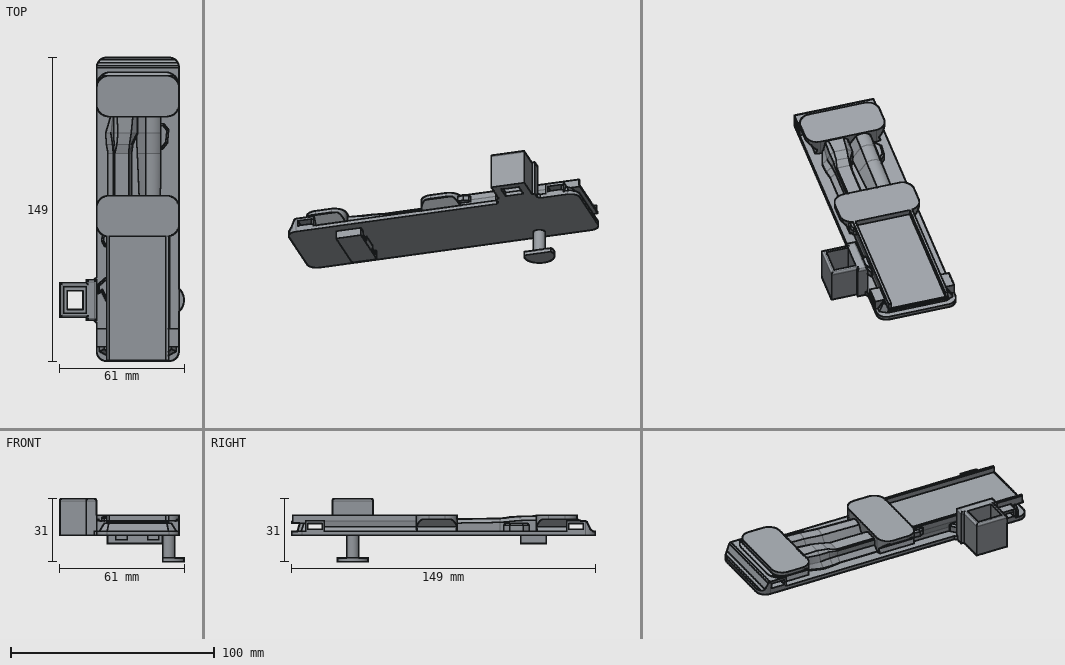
import cadquery as cq

BASE_WIDTH = 40.5
BASE_LENGTH = 149.0
BASE_THICKNESS = 2.0
BASE_CORNER_RADIUS = 5.0

PAD_LENGTH = 20.0
PAD_TOP = 10.0
PAD_THICKNESS = 2.0
PAD_BOTTOM = PAD_TOP - PAD_THICKNESS
PAD_CORNER_RADIUS = 6.0
MIDDLE_PAD_START = 61.2
REAR_PAD_START = 120.0
REAR_PAD_END = REAR_PAD_START + PAD_LENGTH

COLUMN_TOP_INSET = 0.8
COLUMN_WAIST_INSET = 4.5
COLUMN_BOTTOM_INSET = 3.5
WAIST_HEIGHT = 4.3

BLOCK_TOP = 7.2
BLOCK_LENGTH = 9.0
FRONT_BLOCK_START = 7.0
REAR_BLOCK_START = 135.0
REAR_BLOCK_END = REAR_BLOCK_START + BLOCK_LENGTH
WINDOW_LENGTH = 7.0
WINDOW_BOTTOM = 3.1
WINDOW_HEIGHT = 2.7
SLOPE_LENGTH = 3.8
SLOPE_BROW_RUN = 0.9
SLOPE_BROW_HEIGHT = 6.6
SLOPE_FOOT_RUN = 2.5
SLOPE_FOOT_HEIGHT = 3.2
SKIRT_LENGTH = 1.8
SKIRT_CORNER_RADIUS = 7.0

TRAY_LEFT = 5.0
TRAY_RIGHT = 35.3
TRAY_WALL = 1.3
TRAY_FLOOR_BOTTOM = 6.0
TRAY_FLOOR_TOP = 7.1
TRAY_WALL_SETBACK = 0.5
TRAY_FRONT_BEVEL = 0.5
TRAY_SUPPORT_LEFT = 5.2
TRAY_SUPPORT_RIGHT = 36.0
TRAY_SUPPORT_PINCH = 0.5

SOCKET_CENTER_Y = 30.0
SOCKET_HEIGHT = 18.0
SOCKET_REACH = 18.0
SOCKET_WIDTH = 17.0
SOCKET_WALL = 2.0
SOCKET_FLOOR = 2.0
SOCKET_HOLE_X = 7.5
SOCKET_HOLE_Y = 9.0
FLANGE_DEPTH = 5.0
FLANGE_WIDTH = 20.0
SOCKET_EDGE_FILLET = 1.0
GUSSET_SIZE = 1.2

POST_DIAMETER = 6.0
POST_X = 35.47
FOOT_RADIUS = 7.5
FOOT_BOTTOM = -13.0
FOOT_THICKNESS = 2.0

BAR_LEFT = 5.3
BAR_RIGHT = 32.3
BAR_START = 112.3
BAR_LENGTH = 12.7
BAR_DEPTH = 4.0
RECESS_CENTERS_X = (12.3, 27.8)
RECESS_WIDTH = 5.5
RECESS_HEIGHT = 2.2
RECESS_DEPTH = 1.0

LEG_START = MIDDLE_PAD_START + PAD_LENGTH / 2
KNEE_Y = 102.0
CROTCH_Y = 106.5
HIP_Y = 112.0
TORSO_Y = REAR_PAD_START + 2.0
FIGURE_BOTTOM = BASE_THICKNESS / 2
HAND_TOP = 6.0
SHOULDER_TOP = 9.4
LUMP_BEVEL = 0.9


def box(x0, x1, y0, y1, z0, z1):
    """Box between two opposite corners."""
    return cq.Workplane("XY").box(x1 - x0, y1 - y0, z1 - z0, centered=False).translate((x0, y0, z0))


def rounded_slab(y0, y1, z0, z1, radius):
    """Slab over the full plate width with rounded corners."""
    return box(0, BASE_WIDTH, y0, y1, z0, z1).edges("|Z").fillet(radius)


def prism_along_x(points):
    """Extrude a closed (y, z) outline over the full plate width."""
    return cq.Workplane("YZ").polyline(points).close().extrude(BASE_WIDTH)


def section_at(y):
    """XZ workplane at station y, with local coordinates equal to (x, z)."""
    return cq.Workplane("XZ", origin=(0, y, 0))


def loft_sections(wires):
    """Straight-sided loft through a row of closed wires."""
    return cq.Workplane(obj=cq.Solid.makeLoft(wires, True))


def make_base():
    """Flat plate with rounded corners."""
    return rounded_slab(0, BASE_LENGTH, 0, BASE_THICKNESS, BASE_CORNER_RADIUS)


def waisted_prism(y0, y1, bottom_edges, waist_edges, top_edges, top):
    """Prism along Y, pinched at the waist; each pair of edges gives the left and right x."""
    return (
        section_at(y0)
        .polyline([
            (bottom_edges[0], FIGURE_BOTTOM),
            (bottom_edges[1], FIGURE_BOTTOM),
            (bottom_edges[1], BASE_THICKNESS),
            (waist_edges[1], WAIST_HEIGHT),
            (top_edges[1], top),
            (top_edges[0], top),
            (waist_edges[0], WAIST_HEIGHT),
            (bottom_edges[0], BASE_THICKNESS),
        ])
        .close()
        .extrude(y0 - y1)
    )


def inset_edges(inset):
    """Left and right x at equal distances inside the plate edges."""
    return inset, BASE_WIDTH - inset


def make_pad(start):
    """Rounded pad on a column with a narrow waist."""
    end = start + PAD_LENGTH
    pad = rounded_slab(start, end, PAD_BOTTOM, PAD_TOP, PAD_CORNER_RADIUS)
    column = waisted_prism(
        start, end,
        inset_edges(COLUMN_BOTTOM_INSET),
        inset_edges(COLUMN_WAIST_INSET),
        inset_edges(COLUMN_TOP_INSET),
        PAD_BOTTOM,
    )
    outline = rounded_slab(start, end, 0, PAD_TOP, PAD_CORNER_RADIUS)
    return pad.union(column.intersect(outline))


def make_rear_end():
    """Rear block, its sloping end and the skirt leading up to the rear pad."""
    slope = prism_along_x([
        (REAR_BLOCK_START, 0),
        (REAR_BLOCK_START, BLOCK_TOP),
        (REAR_BLOCK_END, BLOCK_TOP),
        (REAR_BLOCK_END + SLOPE_BROW_RUN, SLOPE_BROW_HEIGHT),
        (REAR_BLOCK_END + SLOPE_FOOT_RUN, SLOPE_FOOT_HEIGHT),
        (REAR_BLOCK_END + SLOPE_LENGTH, BASE_THICKNESS),
        (REAR_BLOCK_END + SLOPE_LENGTH, 0),
    ])
    slope = slope.intersect(rounded_slab(0, BASE_LENGTH, 0, PAD_TOP, BASE_CORNER_RADIUS))
    skirt_end = REAR_PAD_END + SKIRT_LENGTH
    skirt = prism_along_x([
        (REAR_BLOCK_START, BLOCK_TOP),
        (REAR_BLOCK_START, PAD_BOTTOM),
        (REAR_PAD_END, PAD_BOTTOM),
        (skirt_end, BLOCK_TOP),
    ])
    outline = rounded_slab(REAR_PAD_START, skirt_end, 0, PAD_TOP, SKIRT_CORNER_RADIUS)
    return slope.union(skirt.intersect(outline))


def make_front_end():
    """Front block with a sloping pedestal that reaches toward the front edge."""
    block = box(0, BASE_WIDTH, FRONT_BLOCK_START, FRONT_BLOCK_START + BLOCK_LENGTH, 0, BLOCK_TOP)
    block = block.cut(box(TRAY_LEFT, TRAY_RIGHT, 0, BASE_LENGTH, TRAY_FLOOR_TOP, PAD_TOP))
    foot_front = 2.5
    foot_inset = 0.8
    foot_corner_x = TRAY_LEFT
    head_front = 4.0
    head_inset = 3.8
    head_corner_x = TRAY_LEFT + 1.0
    corner_run = 2.0

    def outline(z, inset, front, corner_x):
        """Outline at height z with its two front corners cut off."""
        points = [
            (inset, FRONT_BLOCK_START),
            (inset, front + corner_run),
            (corner_x, front),
            (BASE_WIDTH - corner_x, front),
            (BASE_WIDTH - inset, front + corner_run),
            (BASE_WIDTH - inset, FRONT_BLOCK_START),
        ]
        return cq.Workplane("XY", origin=(0, 0, z)).polyline(points).close().val()

    pedestal = loft_sections([
        outline(FIGURE_BOTTOM, foot_inset, foot_front, foot_corner_x),
        outline(TRAY_FLOOR_BOTTOM, head_inset, head_front, head_corner_x),
    ])
    return block.union(pedestal)


def cut_window(body, block_start):
    """Cut a rectangular window through the full width of an end block."""
    start = block_start + (BLOCK_LENGTH - WINDOW_LENGTH) / 2
    window = box(
        0, BASE_WIDTH, start, start + WINDOW_LENGTH,
        WINDOW_BOTTOM, WINDOW_BOTTOM + WINDOW_HEIGHT,
    )
    return body.cut(window)


def make_tray():
    """Tray with two side walls and a rear wall, on a support with a narrow waist."""
    end = MIDDLE_PAD_START + PAD_LENGTH / 2
    support_start = FRONT_BLOCK_START + BLOCK_LENGTH
    tray = box(TRAY_LEFT, TRAY_RIGHT, 0, support_start, TRAY_FLOOR_BOTTOM, TRAY_FLOOR_TOP)
    tray = tray.faces("<Y").edges(">Z").chamfer(TRAY_FRONT_BEVEL)
    for left in (TRAY_LEFT, TRAY_RIGHT - TRAY_WALL):
        wall = box(left, left + TRAY_WALL, TRAY_WALL_SETBACK, end, TRAY_FLOOR_TOP, PAD_TOP)
        tray = tray.union(wall)
    rear_wall = box(TRAY_LEFT, TRAY_RIGHT, MIDDLE_PAD_START, end, TRAY_FLOOR_TOP, PAD_TOP)
    support = waisted_prism(
        support_start, end,
        (TRAY_SUPPORT_LEFT, TRAY_SUPPORT_RIGHT),
        (TRAY_LEFT + TRAY_SUPPORT_PINCH, TRAY_RIGHT - TRAY_SUPPORT_PINCH),
        (TRAY_LEFT, TRAY_RIGHT),
        TRAY_FLOOR_TOP,
    )
    return tray.union(rear_wall).union(support)


def make_left_leg():
    """Flat-topped leg that widens and rises into the hip."""
    leg_points = [
        (5.6, FIGURE_BOTTOM), (5.6, 2.2), (8.2, 4.5), (8.4, 7.4),
        (9.0, 8.0), (15.7, 8.0), (16.0, 7.0), (17.5, FIGURE_BOTTOM),
    ]
    thigh_points = [
        (4.8, FIGURE_BOTTOM), (4.8, 2.4), (7.8, 4.8), (8.6, 8.0),
        (10.0, 9.0), (16.2, 8.8), (17.2, 7.4), (18.0, FIGURE_BOTTOM),
    ]
    hip_points = [
        (4.5, FIGURE_BOTTOM), (4.5, 2.6), (7.0, 5.0), (8.5, 8.0),
        (10.5, 9.4), (17.0, 9.4), (20.0, 7.0), (20.5, FIGURE_BOTTOM),
    ]
    torso_points = [
        (7.5, FIGURE_BOTTOM), (7.5, 2.6), (8.0, 5.0), (8.5, 9.0),
        (10.0, 9.6), (18.0, 9.6), (20.0, 8.0), (20.5, FIGURE_BOTTOM),
    ]
    stations = [
        (LEG_START, leg_points),
        (KNEE_Y, leg_points),
        (CROTCH_Y, thigh_points),
        (HIP_Y, hip_points),
        (TORSO_Y, torso_points),
    ]
    return loft_sections([section_at(y).polyline(points).close().val() for y, points in stations])


def make_right_leg():
    """Leg with a steep inner side and a round top, from inner edge, outer edge and crest height."""
    shoulder_x = 24.2
    shoulder_drop = 0.9
    crest_x = 27.5
    outer_drop = 2.0

    def section(y, inner, outer, crest):
        """Closed leg outline at station y."""
        return (
            section_at(y)
            .moveTo(inner, FIGURE_BOTTOM)
            .lineTo(inner, BASE_THICKNESS)
            .lineTo(shoulder_x, crest - shoulder_drop)
            .threePointArc((crest_x, crest), (outer, crest - outer_drop))
            .lineTo(outer, FIGURE_BOTTOM)
            .close()
            .wire()
            .val()
        )

    return loft_sections([
        section(LEG_START, 21.3, 31.2, 7.9),
        section(KNEE_Y, 20.0, 31.6, 8.4),
        section(HIP_Y, 19.5, 31.6, 9.3),
        section(TORSO_Y, 19.5, 31.6, 9.6),
    ])


def make_lump(outline, bottom, top):
    """Low lump with a beveled top, standing on a closed (x, y) outline."""
    lump = cq.Workplane("XY", origin=(0, 0, bottom)).polyline(outline).close().extrude(top - bottom)
    return lump.faces(">Z").chamfer(LUMP_BEVEL)


def make_hand():
    """Hand resting beside the right hip."""
    outline = [(30.0, 104.0), (32.3, 104.0), (34.8, 107.0), (35.4, 113.5), (33.0, 116.5), (30.0, 116.5)]
    return make_lump(outline, FIGURE_BOTTOM, HAND_TOP)


def make_elbow():
    """Bent elbow beside the tray, behind the socket."""
    outline = [(7.5, 41.5), (4.5, 41.0), (0.5, 37.5), (0.5, 33.0), (2.5, 34.0), (4.8, 29.5), (7.5, 28.5)]
    return make_lump(outline, FIGURE_BOTTOM, TRAY_FLOOR_BOTTOM)


def make_shoulder():
    """Shoulder showing between the tray wall and the middle pad."""
    outline = [(6.0, 55.5), (3.8, 56.5), (2.5, 59.0), (3.0, 62.5), (6.0, 62.5)]
    return make_lump(outline, TRAY_FLOOR_BOTTOM, SHOULDER_TOP)


def make_socket():
    """Square socket on a wider flange, open at the top with a smaller hole in its floor."""
    half_socket = SOCKET_WIDTH / 2
    half_flange = FLANGE_WIDTH / 2
    tube = box(
        -SOCKET_REACH, 0, SOCKET_CENTER_Y - half_socket, SOCKET_CENTER_Y + half_socket,
        0, SOCKET_HEIGHT,
    )
    flange = box(
        -FLANGE_DEPTH, 0, SOCKET_CENTER_Y - half_flange, SOCKET_CENTER_Y + half_flange,
        0, SOCKET_HEIGHT,
    )
    socket = tube.union(flange).faces(">Z").edges().fillet(SOCKET_EDGE_FILLET)
    pocket_left = SOCKET_WALL - SOCKET_REACH
    pocket_half = half_socket - SOCKET_WALL
    pocket = box(
        pocket_left, -FLANGE_DEPTH, SOCKET_CENTER_Y - pocket_half, SOCKET_CENTER_Y + pocket_half,
        SOCKET_FLOOR, SOCKET_HEIGHT,
    )
    hole = cq.Workplane("XY", origin=((pocket_left - FLANGE_DEPTH) / 2, SOCKET_CENTER_Y, 0))
    hole = hole.rect(SOCKET_HOLE_X, SOCKET_HOLE_Y).extrude(SOCKET_FLOOR)
    socket = socket.cut(pocket).cut(hole)
    for side in (-1, 1):
        corner_y = SOCKET_CENTER_Y + side * half_flange
        gusset = [(0, corner_y), (-GUSSET_SIZE, corner_y), (0, corner_y + side * GUSSET_SIZE)]
        socket = socket.union(cq.Workplane("XY").polyline(gusset).close().extrude(BASE_THICKNESS))
    return socket


def make_foot():
    """Round post carrying a disc that is cut flat in line with the post's left side."""
    center = cq.Workplane("XY", origin=(POST_X, SOCKET_CENTER_Y, FOOT_BOTTOM))
    post = center.circle(POST_DIAMETER / 2).extrude(BASE_THICKNESS / 2 - FOOT_BOTTOM)
    disc = center.circle(FOOT_RADIUS).extrude(FOOT_THICKNESS)
    flat_x = POST_X - POST_DIAMETER / 2
    disc = disc.cut(box(0, flat_x, 0, BASE_LENGTH, FOOT_BOTTOM, 0))
    return post.union(disc)


def make_bar():
    """Rectangular bar under the plate with two recesses in its front face."""
    bar = box(BAR_LEFT, BAR_RIGHT, BAR_START, BAR_START + BAR_LENGTH, -BAR_DEPTH, 0)
    for x in RECESS_CENTERS_X:
        half = RECESS_WIDTH / 2
        bar = bar.cut(box(x - half, x + half, BAR_START, BAR_START + RECESS_DEPTH, -RECESS_HEIGHT, 0))
    return bar


result = make_base()
features = [
    make_rear_end(),
    make_front_end(),
    make_tray(),
    make_pad(MIDDLE_PAD_START),
    make_pad(REAR_PAD_START),
    make_left_leg(),
    make_right_leg(),
    make_hand(),
    make_elbow(),
    make_shoulder(),
    make_socket(),
    make_foot(),
    make_bar(),
]
for feature in features:
    result = result.union(feature)
for window_block_start in (FRONT_BLOCK_START, REAR_BLOCK_START):
    result = cut_window(result, window_block_start)